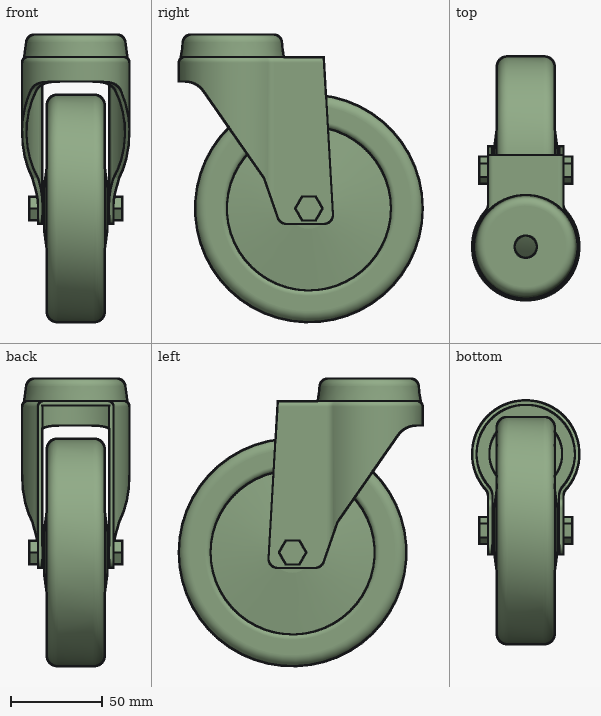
import cadquery as cq
import math

trail = 42.0

wheel_radius = 62.5
wheel_half_width = 16.0
tread_fillet = 6.0
dish_radius = 45.0
rim_round = 3.0
hub_radius = 11.3
hub_half_width = 17.5

sheet = 2.5
fork_top = 83.0
fork_half_width = 20.75
housing_radius = 29.5
blend_radius = 5.0
top_fillet = 3.0
rear_top_y = 50.2
rear_bottom_y = 55.5
fork_bottom = -8.5
fork_corner = 5.0
rim_bottom = 69.5
rim_corner_y = -19.5
rim_corner = 12.0
kink_y = 17.4
kink_z = 16.6
front_bottom_y = 26.1

cap_top = 95.5
cap_base_radius = 28.4
cap_taper = 7.5
cap_fillet = 5.0
cap_hole_radius = 6.1
cap_plate = 2.2
bore_radius = 20.0

axle_radius = 4.0
head_across_flats = 13.0
head_height = 4.8

margin = 10.0


def make_wheel():
    """Wheel revolved about the axle, with a shallow conical disc on each face."""
    disc_half_width = wheel_half_width - rim_round
    face_radius = dish_radius + rim_round
    round_middle = rim_round * math.sqrt(0.5)
    tread_middle = tread_fillet * math.sqrt(0.5)
    shoulder_radius = wheel_radius - tread_fillet
    tread_half_width = wheel_half_width - tread_fillet
    bulge_x = disc_half_width + round_middle
    bulge_radius = face_radius - round_middle
    corner_x = tread_half_width + tread_middle
    corner_radius = shoulder_radius + tread_middle
    wheel = (
        cq.Workplane("XY")
        .moveTo(-hub_half_width, 0)
        .lineTo(hub_half_width, 0)
        .lineTo(hub_half_width, hub_radius)
        .lineTo(disc_half_width, dish_radius)
        .threePointArc((bulge_x, bulge_radius), (wheel_half_width, face_radius))
        .lineTo(wheel_half_width, shoulder_radius)
        .threePointArc((corner_x, corner_radius), (tread_half_width, wheel_radius))
        .lineTo(-tread_half_width, wheel_radius)
        .threePointArc((-corner_x, corner_radius), (-wheel_half_width, shoulder_radius))
        .lineTo(-wheel_half_width, face_radius)
        .threePointArc((-bulge_x, bulge_radius), (-disc_half_width, dish_radius))
        .lineTo(-hub_half_width, hub_radius)
        .close()
        .revolve(360, (0, 0, 0), (1, 0, 0))
    )
    return wheel.translate((0, trail, 0))


def keyhole_prism(inset, top):
    """Round housing blended into two parallel side plates, inset from the outer skin."""
    radius = housing_radius - inset
    plate_x = fork_half_width - inset
    blend = blend_radius + inset
    blend_x = plate_x + blend
    blend_y = math.sqrt((radius + blend) ** 2 - blend_x ** 2)
    touch = radius / (radius + blend)
    touch_x = blend_x * touch
    touch_y = blend_y * touch
    middle_angle = math.pi + math.atan2(blend_y, blend_x) / 2
    middle_x = blend_x + blend * math.cos(middle_angle)
    middle_y = blend_y + blend * math.sin(middle_angle)
    rear_y = rear_bottom_y + margin + inset
    base = fork_bottom - margin
    return (
        cq.Workplane("XY", origin=(0, 0, base))
        .moveTo(plate_x, rear_y)
        .lineTo(plate_x, blend_y)
        .threePointArc((middle_x, middle_y), (touch_x, touch_y))
        .threePointArc((0, -radius), (-touch_x, touch_y))
        .threePointArc((-middle_x, middle_y), (-plate_x, blend_y))
        .lineTo(-plate_x, rear_y)
        .close()
        .extrude(top - base)
    )


def side_envelope():
    """Prism along X carrying the side outline of the fork."""
    front_y = -housing_radius - margin
    prism = (
        cq.Workplane("YZ")
        .polyline(
            [
                (front_y, fork_top),
                (front_y, rim_bottom),
                (rim_corner_y, rim_bottom),
                (kink_y, kink_z),
                (front_bottom_y, fork_bottom),
                (rear_bottom_y, fork_bottom),
                (rear_top_y, fork_top),
            ]
        )
        .close()
        .extrude(housing_radius + margin, both=True)
    )
    prism = prism.edges("|X and <Z").fillet(fork_corner)
    rim_edge = cq.selectors.NearestToPointSelector((0, rim_corner_y, rim_bottom))
    return prism.edges(rim_edge).fillet(rim_corner)


def make_fork():
    """Bent sheet fork, open at the bottom and at the rear."""
    skin = keyhole_prism(0, fork_top).faces(">Z").edges().fillet(top_fillet)
    hollow = keyhole_prism(sheet, fork_top - sheet)
    return skin.cut(hollow).intersect(side_envelope())


def make_cap():
    """Tapered swivel cap with a rounded top edge."""
    height = cap_top - fork_top
    return (
        cq.Workplane("XY", origin=(0, 0, fork_top))
        .circle(cap_base_radius)
        .extrude(height, taper=cap_taper)
        .faces(">Z")
        .edges()
        .fillet(cap_fillet)
    )


def cap_openings():
    """Mounting hole in the cap and the wider bore below it, down into the housing."""
    bore_bottom = fork_top - sheet
    bore_top = cap_top - cap_plate
    bore = (
        cq.Workplane("XY", origin=(0, 0, bore_bottom))
        .circle(bore_radius)
        .extrude(bore_top - bore_bottom)
    )
    hole = (
        cq.Workplane("XY", origin=(0, 0, bore_bottom))
        .circle(cap_hole_radius)
        .extrude(cap_top - bore_bottom)
    )
    return bore.union(hole)


def make_axle():
    """Axle between the side plates with a hexagon head on each outer face."""
    head_across_corners = head_across_flats / math.cos(math.pi / 6)
    axle = (
        cq.Workplane("YZ", origin=(0, trail, 0))
        .circle(axle_radius)
        .extrude(fork_half_width, both=True)
    )
    head = (
        cq.Workplane("YZ", origin=(fork_half_width, trail, 0))
        .polygon(6, head_across_corners)
        .extrude(head_height)
    )
    return axle.union(head).union(head.mirror("YZ"))


swivel = make_fork().union(make_cap()).cut(cap_openings())
result = swivel.union(make_axle()).union(make_wheel())